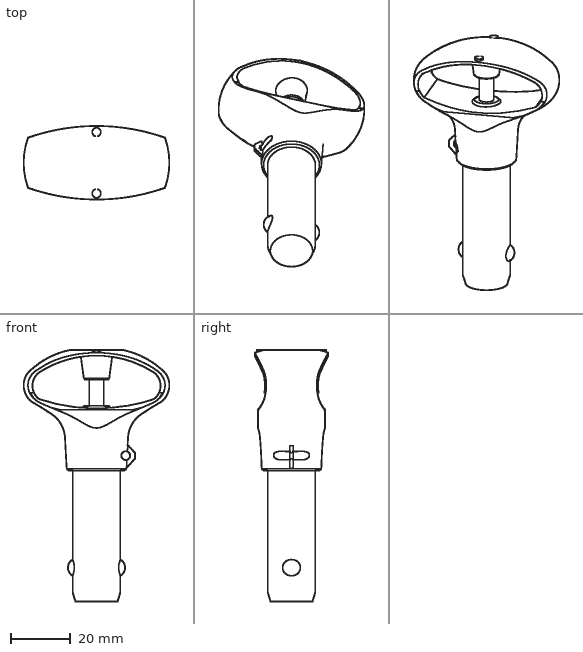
import cadquery as cq
import math

shank_radius = 8.0
shank_tip_radius = 7.1
shank_tip_height = 3.0

ball_radius = 3.1
ball_reach = 9.6
ball_height = 11.4

collar_bottom = 43.9
collar_top = 55.35
collar_bottom_radius = 10.05
collar_top_radius = 10.65
collar_chamfer = 0.7

handle_top = 84.5
handle_radius = 24.5
handle_widest_height = 72.25
handle_flat_radius = 8.95
handle_depth = 24.8
handle_half_depth = handle_depth / 2
handle_end_x = 23.0
handle_end_half_depth = 8.45
base_half_depth = 11.3
base_flat_top = 64.4
flat_blend_top = 70.1

opening_half_width = 21.5
opening_floor = 64.9
opening_top = 82.55
opening_corner_x = 19.3
opening_low_corner = 68.0
opening_high_corner = 76.9

stem_radius = 2.45
button_top = 83.0
button_bottom = 74.5
button_top_radius = 5.4
button_bottom_radius = 4.3
button_chamfer = 0.4
stem_ring_radius = 5.0
stem_ring_top_radius = 4.05
stem_ring_height = 0.85

plug_radius = 1.4
plug_offset = 10.3
plug_top = handle_top

tab_thickness = 1.0
tab_hole_radius = 1.4
tab_hole_x = 9.8
tab_height = 49.0
tab_reach = 12.9
tab_lower_height = 4.2
tab_tip_half_height = 1.0
tab_top = 52.4


def cylinder(radius, bottom, top):
    return cq.Workplane("XY").workplane(offset=bottom).circle(radius).extrude(top - bottom)


def turn(profile):
    """Revolve a (radius, height) profile about Z."""
    return profile.close().revolve(360, (0, 0, 0), (0, 1, 0))


def make_shank():
    shank = cylinder(shank_radius, 0, collar_bottom + 0.85)
    return shank.faces("<Z").chamfer(shank_tip_height, shank_radius - shank_tip_radius)


def make_balls():
    center_x = ball_reach - ball_radius
    return (
        cq.Workplane("XY")
        .pushPoints([(-center_x, 0), (center_x, 0)])
        .sphere(ball_radius)
        .translate((0, 0, ball_height))
    )


def make_turned_body():
    """Collar and untrimmed handle as one turned solid."""
    return turn(
        cq.Workplane("XZ")
        .moveTo(0, collar_bottom)
        .lineTo(collar_bottom_radius - collar_chamfer, collar_bottom)
        .lineTo(collar_bottom_radius, collar_bottom + collar_chamfer)
        .lineTo(collar_top_radius, collar_top)
        .threePointArc((12.0, 59.65), (15.4, 63.1))
        .lineTo(21.55, 66.9)
        .threePointArc((23.75, 69.5), (handle_radius, handle_widest_height))
        .threePointArc((24.0, 75.2), (22.1, 77.7))
        .threePointArc((16.2, 81.9), (handle_flat_radius, handle_top))
        .lineTo(0, handle_top)
    )


def make_handle_envelope():
    """Bowed front and back, with a flat on each that curves in beside the opening."""
    height = handle_top - collar_bottom
    sagitta = handle_half_depth - handle_end_half_depth
    bow_radius = (handle_end_x**2 + sagitta**2) / (2 * sagitta)
    end_x = handle_radius + 0.85
    end_y = handle_half_depth - bow_radius + math.sqrt(bow_radius**2 - end_x**2)
    bowed = (
        cq.Workplane("XY")
        .workplane(offset=collar_bottom)
        .moveTo(-end_x, -end_y)
        .threePointArc((0, -handle_half_depth), (end_x, -end_y))
        .lineTo(end_x, end_y)
        .threePointArc((0, handle_half_depth), (-end_x, end_y))
        .close()
        .extrude(height)
    )
    outside = handle_half_depth + 0.85
    trim = (
        cq.Workplane("YZ")
        .moveTo(outside, collar_bottom)
        .lineTo(base_half_depth, collar_bottom)
        .lineTo(base_half_depth, base_flat_top)
        .threePointArc((9.7, 66.7), (8.8, flat_blend_top))
        .lineTo(outside, flat_blend_top)
        .close()
        .extrude(end_x, both=True)
    )
    return bowed.cut(trim).cut(trim.mirror("XZ"))


def make_opening():
    return (
        cq.Workplane("XZ")
        .moveTo(-opening_corner_x, opening_low_corner)
        .threePointArc((0, opening_floor), (opening_corner_x, opening_low_corner))
        .threePointArc((opening_half_width, handle_widest_height), (opening_corner_x, opening_high_corner))
        .threePointArc((0, opening_top), (-opening_corner_x, opening_high_corner))
        .threePointArc((-opening_half_width, handle_widest_height), (-opening_corner_x, opening_low_corner))
        .close()
        .extrude(handle_half_depth + 0.85, both=True)
    )


def make_plugs():
    """Flat-topped plugs that fill the sloping upper face to its top level."""
    plug = cylinder(plug_radius, opening_top, plug_top)
    return plug.translate((0, plug_offset, 0)).union(plug.translate((0, -plug_offset, 0)))


def make_button():
    button = turn(
        cq.Workplane("XZ")
        .moveTo(0, button_bottom)
        .lineTo(button_bottom_radius - button_chamfer, button_bottom)
        .lineTo(button_bottom_radius, button_bottom + button_chamfer)
        .lineTo(button_top_radius, button_top)
        .lineTo(0, button_top)
    )
    stem_ring = turn(
        cq.Workplane("XZ")
        .moveTo(0, opening_floor - 0.85)
        .lineTo(stem_ring_radius, opening_floor - 0.85)
        .lineTo(stem_ring_radius, opening_floor)
        .lineTo(stem_ring_top_radius, opening_floor + stem_ring_height)
        .lineTo(0, opening_floor + stem_ring_height)
    )
    stem = cylinder(stem_radius, opening_floor, button_top)
    return button.union(stem_ring).union(stem)


def make_tab():
    return (
        cq.Workplane("XZ")
        .polyline([
            (shank_radius, tab_height - tab_lower_height),
            (collar_bottom_radius, tab_height - tab_lower_height),
            (tab_reach, tab_height - tab_tip_half_height),
            (tab_reach, tab_height + tab_tip_half_height),
            (collar_top_radius, tab_top),
            (shank_radius, tab_top),
        ])
        .close()
        .extrude(tab_thickness / 2, both=True)
    )


def make_tab_hole():
    """Through hole, turned half round so that its seam line stays away from the collar's."""
    axis_start = (tab_hole_x, 0, tab_height)
    axis_end = (tab_hole_x, 1, tab_height)
    return (
        cq.Workplane("XZ")
        .center(tab_hole_x, tab_height)
        .circle(tab_hole_radius)
        .extrude(collar_top_radius, both=True)
        .rotate(axis_start, axis_end, 180)
    )


handle = make_turned_body().intersect(make_handle_envelope()).cut(make_opening())
result = (
    handle.union(make_plugs())
    .union(make_button())
    .union(make_shank())
    .union(make_balls())
    .union(make_tab())
    .cut(make_tab_hole())
)